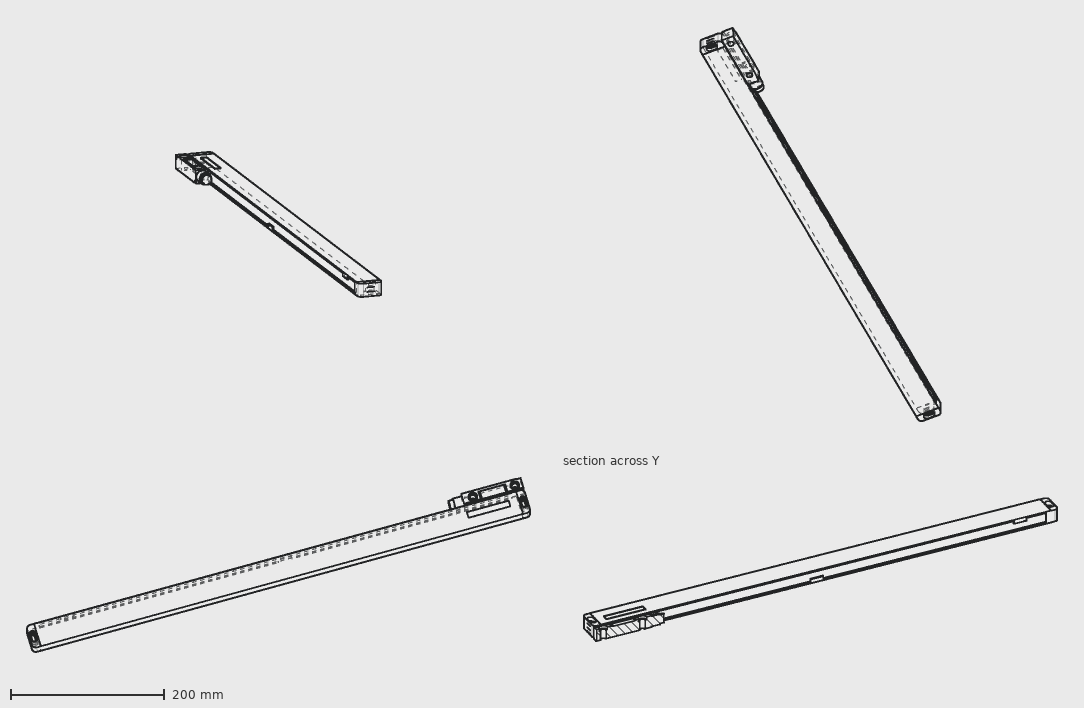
import cadquery as cq

LENGTH = 675.0
DEPTH = 49.0
HEIGHT = 18.0
MID_Z = HEIGHT / 2

BODY_FRONT_Y = 17.0
BODY_DEPTH = DEPTH - BODY_FRONT_Y
CAP_LENGTH = 11.0
CAP_CORNER_RADIUS = 5.5
CAP_SETBACK = 0.2

SLOT_END_OFFSET = 5.5
SLOT_Y = BODY_FRONT_Y + BODY_DEPTH / 2
SLOT_STRAIGHT = 6.0
SLOT_WIDTH = 5.0
SLOT_SEAT_WIDTH = 9.0
SLOT_SEAT_DEPTH = 6.0

WINDOW_END_OFFSET = 17.5
WINDOW_BORDER = 2.0
WINDOW_DEPTH = 2.0

TAB_WIDTH = 18.0
TAB_HEIGHT = 4.0
LOWER_TAB_X = 325.0
UPPER_TAB_X = 619.5

LABEL_X = 23.5
LABEL_Y = 26.0
LABEL_LENGTH = 57.0
LABEL_WIDTH = 8.0
LABEL_DEPTH = 1.0

HEAD_LENGTH = 80.0
HEAD_DEPTH = 16.0
HEAD_STEP_Y = 14.0
HEAD_STEP_DROP = 1.0

NOTCH_LENGTH = 7.0
NOTCH_HEIGHT = 7.0
NOTCH_DEPTH = 1.0

HEAD_HOLE_XS = (10.0, 67.0)
HEAD_HOLE_Y = 8.0
HEAD_HOLE_DIAMETER = 7.5
HEAD_SEAT_DIAMETER = 11.5
HEAD_SEAT_DEPTH = 4.0

POCKET_X = 21.5
POCKET_LENGTH = 36.5
POCKET_Y = 3.5
POCKET_LEDGE = 2.0
LEDGE_DEPTH = 1.0
POCKET_DEPTH = 1.5

OUTLET_Y = 9.0
OUTLET_RADIUS = 8.0
OUTLET_LENGTH = 12.0
COLLAR_RADIUS = 7.0
COLLAR_LENGTH = 6.0


def box(x, y, z, length, depth, height):
    """Box with its lowest corner at (x, y, z)."""
    return cq.Workplane("XY").box(length, depth, height, centered=False).translate((x, y, z))


def y_slot(x, width, z, height):
    """Upright slot cutter, elongated along Y, starting at height z."""
    return (
        cq.Workplane("XY", origin=(x, SLOT_Y, z))
        .slot2D(SLOT_STRAIGHT + width, width, 90)
        .extrude(height)
    )


def end_caps():
    """Both end caps as one bar with rounded upright corners."""
    bar = box(0, BODY_FRONT_Y, CAP_SETBACK, LENGTH, BODY_DEPTH, HEIGHT - 2 * CAP_SETBACK)
    return bar.edges("|Z").fillet(CAP_CORNER_RADIUS)


def make_scale_unit():
    extrusion = box(CAP_LENGTH, BODY_FRONT_Y, 0, LENGTH - 2 * CAP_LENGTH, BODY_DEPTH, HEIGHT)
    unit = extrusion.union(end_caps())

    for x in (SLOT_END_OFFSET, LENGTH - SLOT_END_OFFSET):
        unit = unit.cut(y_slot(x, SLOT_WIDTH, 0, HEIGHT))
        for seat_z in (0, HEIGHT - SLOT_SEAT_DEPTH):
            unit = unit.cut(y_slot(x, SLOT_SEAT_WIDTH, seat_z, SLOT_SEAT_DEPTH))

    window_length = LENGTH - 2 * WINDOW_END_OFFSET
    window_height = HEIGHT - 2 * WINDOW_BORDER
    window = box(
        WINDOW_END_OFFSET, BODY_FRONT_Y, WINDOW_BORDER, window_length, WINDOW_DEPTH, window_height
    )
    upper_tab_z = HEIGHT - WINDOW_BORDER - TAB_HEIGHT
    for x, z in ((LOWER_TAB_X, WINDOW_BORDER), (UPPER_TAB_X, upper_tab_z)):
        tab = box(x - TAB_WIDTH / 2, BODY_FRONT_Y, z, TAB_WIDTH, WINDOW_DEPTH, TAB_HEIGHT)
        window = window.cut(tab)

    label = box(LABEL_X, LABEL_Y, HEIGHT - LABEL_DEPTH, LABEL_LENGTH, LABEL_WIDTH, LABEL_DEPTH)
    return unit.cut(window).cut(label)


def corner_notch(x, z, step_x, step_z):
    """Shallow triangular cutter on the front face, with its right angle at the corner (x, z)."""
    outline = [(x, z), (x + step_x, z), (x, z + step_z)]
    return cq.Workplane("XZ").polyline(outline).close().extrude(-NOTCH_DEPTH)


def x_cylinder(x, radius, length):
    """Cylinder along X on the axis of the cable outlet."""
    return cq.Workplane("YZ", origin=(x, OUTLET_Y, MID_Z)).circle(radius).extrude(length)


def make_head():
    head = box(0, 0, 0, HEAD_LENGTH, HEAD_DEPTH, HEIGHT)
    step_depth = HEAD_DEPTH - HEAD_STEP_Y
    head = head.cut(
        box(0, HEAD_STEP_Y, HEIGHT - HEAD_STEP_DROP, HEAD_LENGTH, step_depth, HEAD_STEP_DROP)
    )

    pocket_width = HEAD_STEP_Y - POCKET_Y
    head = head.cut(
        box(POCKET_X, POCKET_Y, HEIGHT - LEDGE_DEPTH, POCKET_LENGTH, pocket_width, LEDGE_DEPTH)
    )
    head = head.cut(
        box(
            POCKET_X + POCKET_LEDGE,
            POCKET_Y,
            HEIGHT - POCKET_DEPTH,
            POCKET_LENGTH - 2 * POCKET_LEDGE,
            pocket_width,
            POCKET_DEPTH,
        )
    )

    hole_centres = [(x, HEAD_HOLE_Y) for x in HEAD_HOLE_XS]
    holes = cq.Workplane("XY", origin=(0, 0, HEIGHT)).pushPoints(hole_centres)
    head = head.cut(holes.circle(HEAD_HOLE_DIAMETER / 2).extrude(-HEIGHT))
    head = head.cut(holes.circle(HEAD_SEAT_DIAMETER / 2).extrude(-HEAD_SEAT_DEPTH))

    head = head.cut(corner_notch(0, HEIGHT, NOTCH_LENGTH, -NOTCH_HEIGHT))
    head = head.cut(corner_notch(HEAD_LENGTH, 0, -NOTCH_LENGTH, NOTCH_HEIGHT))

    outlet = x_cylinder(HEAD_LENGTH, OUTLET_RADIUS, OUTLET_LENGTH)
    collar = x_cylinder(HEAD_LENGTH + OUTLET_LENGTH, COLLAR_RADIUS, COLLAR_LENGTH)
    return head.union(outlet).union(collar)


scale_unit = make_scale_unit()
head = make_head()
result = cq.Compound.makeCompound([scale_unit.val(), head.val()])